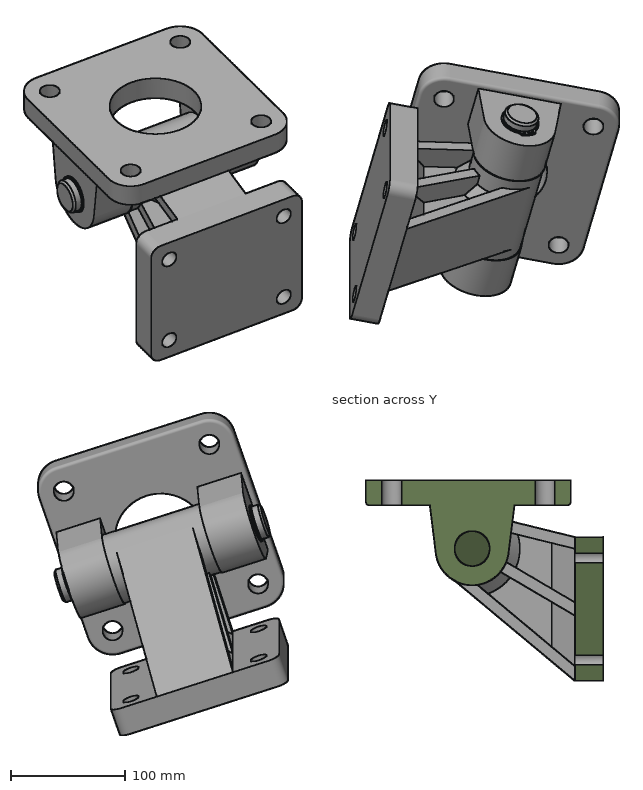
import cadquery as cq
import math


plate_side = 180.0
plate_thickness = 22.0
plate_corner_radius = 22.7
plate_edge_fillet = 3.0
plate_hole_pitch = plate_side - 2 * plate_corner_radius
plate_hole_diameter = 17.5
center_hole_diameter = 80.5
plate_offset_x = -3.3
plate_top_z = 60.0
plate_bottom_z = plate_top_z - plate_thickness

gap_width = 90.0
ear_thickness = 40.5
ear_round_radius = 32.3
ear_top_width = 74.4
ear_knee_drop = 5.8
ear_outer_y = gap_width / 2 + ear_thickness

pin_diameter = 30.2
pin_length = 191.0
pin_chamfer = 2.0

ring_outer_radius = 16.7
ring_thickness = 1.5
ring_clearance = 0.75
ring_opening_angle = 243
ring_gap = 1.0
lug_outer_radius = 19.2
lug_tip_half_angle = 20
lug_root_half_angle = 30
lug_hole_diameter = 1.9
lug_hole_radius = 16.7
lug_hole_half_angle = 14.4

wall_width = 155.8
wall_thickness = 25.0
wall_corner_radius = 10.0
wall_face_x = 90.0
wall_top_z = 10.2
wall_bottom_z = -116.0
wall_height = wall_top_z - wall_bottom_z
wall_mid_z = (wall_top_z + wall_bottom_z) / 2
wall_hole_diameter = 14.5
wall_hole_pitch_y = 118.1
wall_hole_pitch_z = 89.2

barrel_radius = 31.5
rib_width = 70.5
rib_thickness = 10.0
gusset_length = 20.0
web_thickness = rib_width - 2 * gusset_length
cone_flare = 10.5


def cylinder_y(radius, length):
    """Cylinder on the pin axis, centred on the origin."""
    return cq.Workplane("XZ").circle(radius).extrude(length / 2, both=True)


def make_plate():
    blank = (
        cq.Workplane("XY", origin=(plate_offset_x, 0, plate_bottom_z))
        .rect(plate_side, plate_side)
        .extrude(plate_thickness)
        .edges("|Z").fillet(plate_corner_radius)
        .faces("<Z").edges().fillet(plate_edge_fillet)
    )
    return (
        blank.faces(">Z").workplane(origin=(plate_offset_x, 0, plate_top_z))
        .tag("top")
        .hole(center_hole_diameter)
        .workplaneFromTagged("top")
        .rect(plate_hole_pitch, plate_hole_pitch, forConstruction=True)
        .vertices()
        .hole(plate_hole_diameter)
    )


def make_ears():
    """Two tapered ears with round lower ends, one on each side of the gap."""
    knee_half_width = math.sqrt(ear_round_radius**2 - ear_knee_drop**2)
    ears = (
        cq.Workplane("XZ")
        .moveTo(-ear_top_width / 2, plate_bottom_z)
        .lineTo(-knee_half_width, -ear_knee_drop)
        .threePointArc((0, -ear_round_radius), (knee_half_width, -ear_knee_drop))
        .lineTo(ear_top_width / 2, plate_bottom_z)
        .close()
        .extrude(ear_outer_y, both=True)
    )
    gap = cq.Workplane("XY").box(2 * ear_top_width, gap_width, 2 * plate_bottom_z)
    return ears.cut(gap)


def make_clevis():
    return make_plate().union(make_ears()).cut(cylinder_y(pin_diameter / 2, pin_length))


def tangent_point(corner_x, corner_z, side):
    """Point where a line from the corner touches the barrel; side +1 is above, -1 below."""
    distance = math.hypot(corner_x, corner_z)
    angle = math.atan2(corner_z, corner_x) + side * math.acos(barrel_radius / distance)
    return barrel_radius * math.cos(angle), barrel_radius * math.sin(angle)


upper_corner = (wall_face_x, wall_top_z)
lower_corner = (wall_face_x, wall_bottom_z)
upper_tangent = tangent_point(*upper_corner, 1)
lower_tangent = tangent_point(*lower_corner, -1)


def make_wedge(width):
    """Side outline of the arm between the barrel and the wall plate."""
    outline = [(0, 0), upper_tangent, upper_corner, lower_corner, lower_tangent]
    return cq.Workplane("XZ").polyline(outline).close().extrude(width / 2, both=True)


def make_rib(start, end, shift):
    """Straight bar from start to end; shift moves its centre line sideways."""
    run_x = end[0] - start[0]
    run_z = end[1] - start[1]
    length = math.hypot(run_x, run_z)
    return (
        cq.Workplane("XY")
        .box(2 * length, rib_width, rib_thickness)
        .translate((length / 2, 0, shift))
        .rotate((0, 0, 0), (0, 1, 0), -math.degrees(math.atan2(run_z, run_x)))
        .translate((start[0], 0, start[1]))
    )


def make_gussets():
    """Block that widens from the web to the full rib width at the wall plate."""
    return (
        cq.Workplane("XY", origin=(0, 0, wall_bottom_z))
        .moveTo(wall_face_x - gusset_length, -web_thickness / 2)
        .lineTo(wall_face_x, -rib_width / 2)
        .lineTo(wall_face_x, rib_width / 2)
        .lineTo(wall_face_x - gusset_length, web_thickness / 2)
        .close()
        .extrude(wall_height)
    )


def make_barrel_cones():
    """Flares at 45 degrees from the barrel out to both faces of the web."""
    flare_radius = barrel_radius + cone_flare
    flare_start_y = web_thickness / 2 + cone_flare
    return (
        cq.Workplane("XY")
        .moveTo(0, -flare_start_y)
        .lineTo(barrel_radius, -flare_start_y)
        .lineTo(flare_radius, -web_thickness / 2)
        .lineTo(flare_radius, web_thickness / 2)
        .lineTo(barrel_radius, flare_start_y)
        .lineTo(0, flare_start_y)
        .close()
        .revolve(360, (0, 0, 0), (0, 1, 0))
    )


def make_wall_plate():
    wall = (
        cq.Workplane("YZ", origin=(wall_face_x, 0, wall_mid_z))
        .rect(wall_width, wall_height)
        .extrude(wall_thickness)
        .edges("|X").fillet(wall_corner_radius)
    )
    holes = (
        cq.Workplane("YZ", origin=(wall_face_x, 0, wall_mid_z))
        .rect(wall_hole_pitch_y, wall_hole_pitch_z, forConstruction=True)
        .vertices()
        .circle(wall_hole_diameter / 2)
        .extrude(wall_thickness)
    )
    return wall.cut(holes)


def make_arm():
    raised = make_rib(upper_tangent, upper_corner, -rib_thickness / 2)
    raised = raised.union(make_rib((0, 0), (wall_face_x, wall_mid_z), 0))
    raised = raised.union(make_rib(lower_tangent, lower_corner, rib_thickness / 2))
    raised = raised.union(make_gussets()).union(make_barrel_cones())
    arm = make_wedge(web_thickness).union(make_wedge(rib_width).intersect(raised))
    arm = arm.union(cylinder_y(barrel_radius, gap_width)).union(make_wall_plate())
    return arm.cut(cylinder_y(pin_diameter / 2, pin_length))


def make_pin():
    return cylinder_y(pin_diameter / 2, pin_length).faces("<Y or >Y").edges().chamfer(pin_chamfer)


def polar(radius, angle_from_opening):
    """Point on the ring's plane, with the angle measured from the middle of its opening."""
    angle = math.radians(ring_opening_angle + angle_from_opening)
    return radius * math.cos(angle), radius * math.sin(angle)


def make_ring(plus_y_face):
    """Open retaining ring with two eyed lugs; plus_y_face is the Y of its +Y face."""
    plane = cq.Workplane("XZ", origin=(0, plus_y_face, 0))
    band = plane.circle(ring_outer_radius).extrude(ring_thickness)
    lugs = (
        plane.moveTo(0, 0)
        .lineTo(*polar(ring_outer_radius, -lug_root_half_angle))
        .lineTo(*polar(lug_outer_radius, -lug_tip_half_angle))
        .threePointArc(polar(lug_outer_radius, 0), polar(lug_outer_radius, lug_tip_half_angle))
        .lineTo(*polar(ring_outer_radius, lug_root_half_angle))
        .close()
        .extrude(ring_thickness)
    )
    opening = (
        plane.transformed(rotate=(0, 0, ring_opening_angle))
        .center(lug_outer_radius / 2, 0)
        .rect(lug_outer_radius, ring_gap)
        .extrude(ring_thickness)
    )
    eye_centers = [polar(lug_hole_radius, side * lug_hole_half_angle) for side in (-1, 1)]
    eyes = plane.pushPoints(eye_centers).circle(lug_hole_diameter / 2).extrude(ring_thickness)
    ring = band.union(lugs).cut(opening).cut(eyes)
    return ring.cut(cylinder_y(pin_diameter / 2, pin_length))


def make_rings():
    """One ring near each ear, a small clearance away from its outer face."""
    inner_y = ear_outer_y + ring_clearance
    return [make_ring(face_y) for face_y in (-inner_y, inner_y + ring_thickness)]


clevis = make_clevis()
arm = make_arm()
pin = make_pin()
rings = make_rings()

result = cq.Compound.makeCompound(
    [body.solids().val() for body in (clevis, arm, pin, *rings)]
)